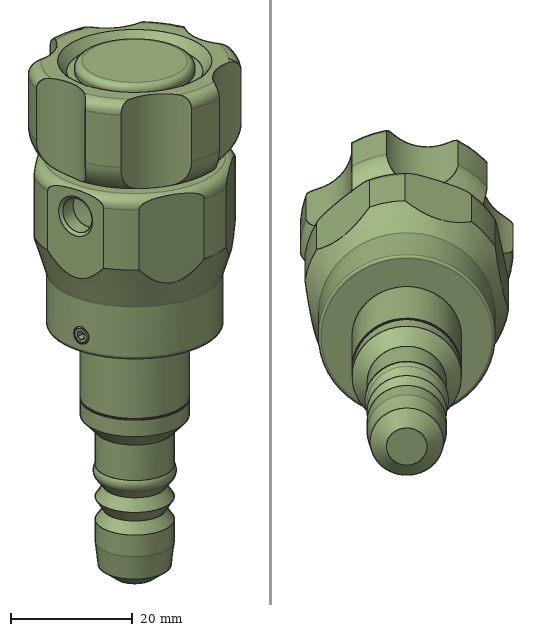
import cadquery as cq
import math


total_height = 92.5
knob_bottom = 75.3
body_bottom = 45.2

stem_radius = 18.0 / 2
collar_radius = 17.9 / 2
collar_top = 32.2
collar_bottom = 28.95
groove_height = 0.3
groove_depth = 0.14
tip_radius = 13.0 / 2
tip_shoulder = 26.4

bead_top = 20.0
bead_bottom = 18.0
bead_radius = 6.8
ring_root_radius = 5.2
upper_root = 16.3
ring_crest = 14.2
lower_root = 12.1
nose_shoulder = 10.2
nose_taper_top = 6.3
nose_taper_radius = 6.0
nose_chamfer_top = 2.0
nose_end_radius = 3.3

body_radius = 16.9
flat_distance = 15.9
flat_count = 6
first_flat_angle = -90.0
body_fillet = 2.0
cone_top = 62.4
sleeve_top = 54.8
sleeve_radius = 29.0 / 2
sleeve_fillet = 0.5

lock_diameter = 6.0
lock_rim_diameter = 7.0
lock_rim_depth = 0.5
lock_depth = 3.2
lock_cone_height = 0.4
lock_height = 70.2

screw_height = 48.3
screw_hole_diameter = 3.05
screw_diameter = 3.0
screw_face_diameter = 2.5
screw_chamfer_depth = 0.3
socket_sides = 6
socket_width = 1.4
socket_depth = 1.5

knob_radius = 17.5
knob_top_fillet = 2.0
knob_bottom_radius = 23.4 / 2
flute_count = 6
flute_radius = 8.0
flute_floor_distance = 13.8
first_flute_angle = 20.0

dish_rim_radius = 12.7
dish_floor_radius = 11.2
dish_depth = 1.85
button_radius = 9.9
button_top_radius = 17.3 / 2


def quarter_arc_middle(center_radius, center_height, arc_radius, side):
    """Middle of an outward quarter arc: side is 1 for an upper edge and -1 for a lower edge."""
    diagonal = arc_radius * math.sqrt(0.5)
    return (center_radius + diagonal, center_height + side * diagonal)


def make_stem():
    bead_middle = (bead_top + bead_bottom) / 2
    profile = (
        cq.Workplane("XZ")
        .moveTo(0, 0)
        .lineTo(nose_end_radius, 0)
        .lineTo(nose_taper_radius, nose_chamfer_top)
        .lineTo(tip_radius, nose_taper_top)
        .lineTo(tip_radius, nose_shoulder)
        .lineTo(ring_root_radius, lower_root)
        .lineTo(tip_radius, ring_crest)
        .lineTo(ring_root_radius, upper_root)
        .lineTo(tip_radius, bead_bottom)
        .threePointArc((bead_radius, bead_middle), (tip_radius, bead_top))
        .lineTo(tip_radius, tip_shoulder)
        .lineTo(collar_radius, collar_bottom)
        .lineTo(collar_radius, collar_top - groove_height)
        .lineTo(collar_radius - groove_depth, collar_top - groove_height)
        .lineTo(collar_radius - groove_depth, collar_top)
        .lineTo(stem_radius, collar_top)
        .lineTo(stem_radius, body_bottom)
        .lineTo(0, body_bottom)
        .close()
    )
    return profile.revolve(360, (0, 0), (0, 1))


def make_body():
    fillet_bottom = knob_bottom - body_fillet
    profile = (
        cq.Workplane("XZ")
        .moveTo(0, body_bottom)
        .lineTo(sleeve_radius - sleeve_fillet, body_bottom)
        .threePointArc(
            quarter_arc_middle(sleeve_radius - sleeve_fillet, body_bottom + sleeve_fillet, sleeve_fillet, -1),
            (sleeve_radius, body_bottom + sleeve_fillet),
        )
        .lineTo(sleeve_radius, sleeve_top)
        .lineTo(body_radius, cone_top)
        .lineTo(body_radius, fillet_bottom)
        .threePointArc(
            quarter_arc_middle(body_radius - body_fillet, fillet_bottom, body_fillet, 1),
            (body_radius - body_fillet, knob_bottom),
        )
        .lineTo(0, knob_bottom)
        .close()
    )
    body = profile.revolve(360, (0, 0), (0, 1))
    hexagon = (
        cq.Workplane("XY", origin=(0, 0, body_bottom))
        .polygon(flat_count, 2 * flat_distance, circumscribed=True)
        .extrude(knob_bottom - body_bottom)
        .rotate((0, 0, 0), (0, 0, 1), first_flat_angle)
    )
    return body.intersect(hexagon)


def cut_lock_hole(body):
    floor = flat_distance - lock_depth
    hole = (
        cq.Workplane("XY", origin=(0, 0, lock_height))
        .moveTo(0, -flat_distance)
        .lineTo(lock_rim_diameter / 2, -flat_distance)
        .lineTo(lock_diameter / 2, lock_rim_depth - flat_distance)
        .lineTo(lock_diameter / 2, -floor)
        .lineTo(0, lock_cone_height - floor)
        .close()
        .revolve(360, (0, 0), (0, 1))
    )
    return body.cut(hole)


def add_set_screw(body):
    chamfer_floor = sleeve_radius - screw_chamfer_depth
    hole = (
        cq.Workplane("XZ", origin=(0, -chamfer_floor, screw_height))
        .circle(screw_hole_diameter / 2)
        .extrude(screw_chamfer_depth)
    )
    tip = (
        cq.Workplane("XZ", origin=(0, -chamfer_floor, screw_height))
        .circle(screw_diameter / 2)
        .workplane(offset=screw_chamfer_depth)
        .circle(screw_face_diameter / 2)
        .loft()
    )
    socket = (
        cq.Workplane("XZ", origin=(0, -sleeve_radius, screw_height))
        .polygon(socket_sides, socket_width, circumscribed=True)
        .extrude(-socket_depth)
    )
    return body.cut(hole).union(tip).cut(socket)


def make_knob():
    top_fillet_bottom = total_height - knob_top_fillet
    top_flat_radius = knob_radius - knob_top_fillet
    bottom_fillet = knob_radius - knob_bottom_radius
    bottom_fillet_top = knob_bottom + bottom_fillet
    profile = (
        cq.Workplane("XZ")
        .moveTo(0, knob_bottom)
        .lineTo(knob_bottom_radius, knob_bottom)
        .threePointArc(
            quarter_arc_middle(knob_bottom_radius, bottom_fillet_top, bottom_fillet, -1),
            (knob_radius, bottom_fillet_top),
        )
        .lineTo(knob_radius, top_fillet_bottom)
        .threePointArc(
            quarter_arc_middle(top_flat_radius, top_fillet_bottom, knob_top_fillet, 1),
            (top_flat_radius, total_height),
        )
        .lineTo(0, total_height)
        .close()
    )
    return profile.revolve(360, (0, 0), (0, 1))


def cut_flutes(knob):
    flutes = (
        cq.Workplane("XY", origin=(0, 0, knob_bottom))
        .polarArray(flute_floor_distance + flute_radius, first_flute_angle, 360, flute_count)
        .circle(flute_radius)
        .extrude(total_height - knob_bottom)
    )
    return knob.cut(flutes)


def cut_dish(knob):
    """Cut the ring-shaped dish, leaving the button with its rounded edge in the middle."""
    dish_floor = total_height - dish_depth
    button_fillet = button_radius - button_top_radius
    fillet_bottom = total_height - button_fillet
    ring = (
        cq.Workplane("XZ")
        .moveTo(dish_rim_radius, total_height)
        .lineTo(dish_floor_radius, dish_floor)
        .lineTo(button_radius, dish_floor)
        .lineTo(button_radius, fillet_bottom)
        .threePointArc(
            quarter_arc_middle(button_top_radius, fillet_bottom, button_fillet, 1),
            (button_top_radius, total_height),
        )
        .close()
        .revolve(360, (0, 0), (0, 1))
    )
    return knob.cut(ring)


body = add_set_screw(cut_lock_hole(make_body()))
knob = cut_dish(cut_flutes(make_knob()))
result = make_stem().union(body).union(knob)